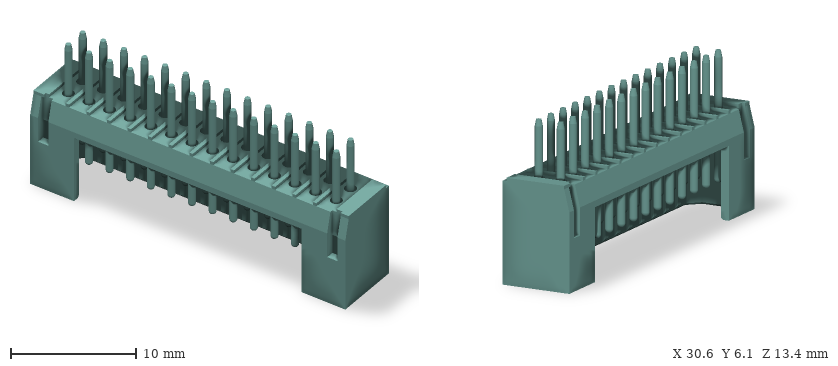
import cadquery as cq

LENGTH = 30.6
DEPTH = 6.1
FRONT_Y = -DEPTH / 2
BACK_Y = DEPTH / 2
BODY_HEIGHT = 8.57
HALF_LENGTH = LENGTH / 2

SLOPE_DEPTH = 0.46
SLOPE_BOTTOM_Z = 6.73
SLOPE_TOP_Y = FRONT_Y + SLOPE_DEPTH

STANDOFF_HEIGHT = 0.29
PAD_LENGTH = 1.35
PAD_BACK_Y = BACK_Y - 0.37
TOP_RIB_WIDTH = 0.34
TOP_RIB_BACK_Y = BACK_Y - 0.45

END_WALL = 0.75
FRONT_WALL = 0.72
BACK_WALL = 0.8
CAVITY_HEIGHT = 6.18
CAVITY_FRONT_Y = FRONT_Y + FRONT_WALL
CAVITY_BACK_Y = BACK_Y - BACK_WALL
CORNER_CHAMFER = 0.93
MOUTH_CHAMFER = 0.18
FLARE_ANGLE = 45
CAVITY_RIB_WIDTH = 0.46
CAVITY_RIB_DEPTH = 0.28

WINDOW_LENGTH = 22.1
SLOT_OUTER_X = HALF_LENGTH - 0.77
SLOT_WIDTH = 1.0
SLOT_BOTTOM_Z = 4.42
SLOT_DEPTH = FRONT_WALL
PAD_OVERHANG = 0.27

PIN_COUNT = 14
PITCH = 2.0
PIN_RADIUS = 0.325
PIN_TOP_Z = 13.4
TIP_LENGTH = 0.55
TIP_RADIUS = 0.22
PIN_BOTTOM_Z = 2.45
WELL_DIAMETER = 1.04
WELL_DEPTH = 0.5

FIRST_PIN_X = -(PIN_COUNT - 1) * PITCH / 2
PIN_XS = [FIRST_PIN_X + i * PITCH for i in range(PIN_COUNT)]
RIB_XS = [x + PITCH / 2 for x in PIN_XS[:-1]]
ROW_YS = [-PITCH / 2, PITCH / 2]
PIN_POINTS = [(x, y) for x in PIN_XS for y in ROW_YS]


def block(x0, x1, y0, y1, z0, z1):
    """Box given by its limits along each axis."""
    return cq.Workplane("XY").box(x1 - x0, y1 - y0, z1 - z0, centered=False).translate((x0, y0, z0))


def make_body():
    """Outer shroud block with the sloped upper front edge."""
    profile = [
        (FRONT_Y, 0),
        (BACK_Y, 0),
        (BACK_Y, BODY_HEIGHT),
        (SLOPE_TOP_Y, BODY_HEIGHT),
        (FRONT_Y, SLOPE_BOTTOM_Z),
    ]
    return cq.Workplane("YZ").polyline(profile).close().extrude(HALF_LENGTH, both=True)


def add_standoffs(body):
    """End pads and the narrow ribs between pin columns."""
    top_z = BODY_HEIGHT + STANDOFF_HEIGHT
    pad_inner_x = HALF_LENGTH - PAD_LENGTH
    for x0, x1 in ((-HALF_LENGTH, -pad_inner_x), (pad_inner_x, HALF_LENGTH)):
        body = body.union(block(x0, x1, SLOPE_TOP_Y, PAD_BACK_Y, BODY_HEIGHT, top_z))
    half_width = TOP_RIB_WIDTH / 2
    for x in RIB_XS:
        rib = block(x - half_width, x + half_width, SLOPE_TOP_Y, TOP_RIB_BACK_Y, BODY_HEIGHT, top_z)
        body = body.union(rib)
    return body


def make_cavity():
    """Cavity volume with bevelled rear corners, a flared mouth and rear wall ribs."""
    half_length = HALF_LENGTH - END_WALL
    bevel_x = half_length - CORNER_CHAMFER
    bevel_y = CAVITY_BACK_Y - CORNER_CHAMFER
    outline = [
        (-half_length, CAVITY_FRONT_Y),
        (half_length, CAVITY_FRONT_Y),
        (half_length, bevel_y),
        (bevel_x, CAVITY_BACK_Y),
        (-bevel_x, CAVITY_BACK_Y),
        (-half_length, bevel_y),
    ]
    cavity = cq.Workplane("XY").polyline(outline).close().extrude(CAVITY_HEIGHT)
    flare = (
        cq.Workplane("XY")
        .polyline(outline)
        .close()
        .offset2D(MOUTH_CHAMFER, "intersection")
        .extrude(MOUTH_CHAMFER, taper=FLARE_ANGLE)
    )
    cavity = cavity.union(flare)

    rib_y = CAVITY_BACK_Y - CAVITY_RIB_DEPTH
    rib_profile = [
        (CAVITY_BACK_Y, MOUTH_CHAMFER),
        (CAVITY_BACK_Y, CAVITY_HEIGHT),
        (rib_y, CAVITY_HEIGHT),
        (rib_y, MOUTH_CHAMFER + CAVITY_RIB_DEPTH),
    ]
    rib = cq.Workplane("YZ").polyline(rib_profile).close().extrude(CAVITY_RIB_WIDTH / 2, both=True)
    for x in RIB_XS:
        cavity = cavity.cut(rib.translate((x, 0, 0)))
    return cavity


def cut_front_window(body):
    """Wide opening in the front wall that leaves a leg at each end."""
    half_length = WINDOW_LENGTH / 2
    return body.cut(block(-half_length, half_length, FRONT_Y, CAVITY_FRONT_Y, 0, CAVITY_HEIGHT))


def cut_front_slots(body):
    """Narrow slots near both ends; the -X pad overhangs the outer edge of its slot."""
    slot_inner_x = SLOT_OUTER_X - SLOT_WIDTH
    slot_back_y = FRONT_Y + SLOT_DEPTH
    pad_top_z = BODY_HEIGHT + STANDOFF_HEIGHT
    body = body.cut(block(slot_inner_x, SLOT_OUTER_X, FRONT_Y, slot_back_y, SLOT_BOTTOM_Z, pad_top_z))
    body = body.cut(block(-SLOT_OUTER_X, -slot_inner_x, FRONT_Y, slot_back_y, SLOT_BOTTOM_Z, BODY_HEIGHT))
    pad_edge_x = PAD_OVERHANG - SLOT_OUTER_X
    return body.cut(block(pad_edge_x, -slot_inner_x, FRONT_Y, slot_back_y, BODY_HEIGHT, pad_top_z))


def cut_wells(body):
    """Round recess in the top face around each pin."""
    wells = (
        cq.Workplane("XY", origin=(0, 0, BODY_HEIGHT - WELL_DEPTH))
        .pushPoints(PIN_POINTS)
        .circle(WELL_DIAMETER / 2)
        .extrude(WELL_DEPTH)
    )
    return body.cut(wells)


def make_pin():
    """Round pin with a tapered upper tip and a rounded lower end."""
    shoulder_z = PIN_TOP_Z - TIP_LENGTH
    return (
        cq.Workplane("XZ")
        .moveTo(0, PIN_BOTTOM_Z)
        .radiusArc((PIN_RADIUS, PIN_BOTTOM_Z + PIN_RADIUS), -PIN_RADIUS)
        .lineTo(PIN_RADIUS, shoulder_z)
        .lineTo(TIP_RADIUS, PIN_TOP_Z)
        .lineTo(0, PIN_TOP_Z)
        .close()
        .revolve(360, (0, 0, 0), (0, 1, 0))
    )


def add_pins(body):
    """Two rows of pins pressed through the shroud roof."""
    pin = make_pin()
    for x, y in PIN_POINTS:
        body = body.union(pin.translate((x, y, 0)))
    return body


shroud = add_standoffs(make_body())
shroud = shroud.cut(make_cavity())
shroud = cut_front_window(shroud)
shroud = cut_front_slots(shroud)
shroud = cut_wells(shroud)
result = add_pins(shroud)